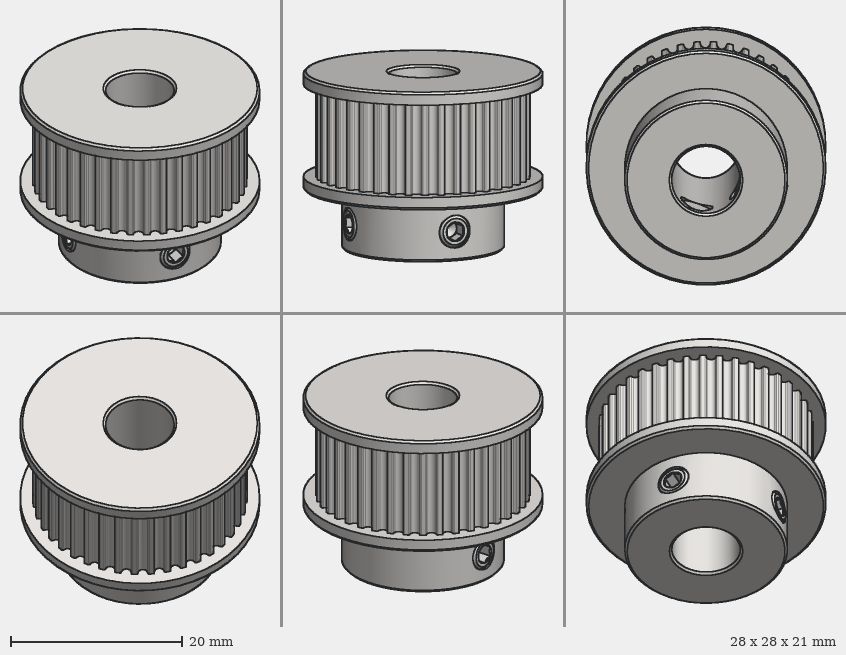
import cadquery as cq
import math

flange_diameter = 28.0
flange_thickness = 1.5
hub_diameter = 19.0
hub_height = 7.0
total_height = 21.0
rim_diameter = 25.1
bore_diameter = 8.0
edge_chamfer = 0.28

groove_count = 40
groove_depth = 0.75
groove_bottom_radius = 0.55
groove_flank_radius = 1.0
groove_mouth_radius = 0.15

screw_diameter = 3.85
screw_chamfer = 0.35
screw_angles = (-90, 0)
hex_across_flats = 2.0
hex_depth = 1.95
hex_tip_angle = 120.0

flange_radius = flange_diameter / 2
hub_radius = hub_diameter / 2
rim_radius = rim_diameter / 2
bore_radius = bore_diameter / 2
rim_bottom = hub_height + flange_thickness
rim_top = total_height - flange_thickness
rim_height = rim_top - rim_bottom
screw_radius = screw_diameter / 2
screw_height = hub_height / 2
screw_length = hub_radius - bore_radius


def disc(diameter, bottom, height):
    """Plain disc on the Z axis, standing on the given height."""
    return cq.Workplane("XY").workplane(offset=bottom).circle(diameter / 2).extrude(height)


def make_groove():
    """Cutter for one belt groove, on the +Y side of the rim."""
    centre_gap = groove_flank_radius - groove_bottom_radius
    bottom_centre_depth = groove_depth - groove_bottom_radius
    flank_centre_x = -math.sqrt(centre_gap**2 - bottom_centre_depth**2)
    flank_end_angle = -math.asin(bottom_centre_depth / centre_gap)

    mouth_reach = groove_flank_radius + groove_mouth_radius
    flank_start_angle = -math.asin(groove_mouth_radius / mouth_reach)
    mouth_x = flank_centre_x + mouth_reach * math.cos(flank_start_angle)
    mouth_y = math.sqrt(rim_radius**2 - mouth_x**2)
    mouth_mid_angle = (math.pi / 2 + math.pi + flank_start_angle) / 2

    def flank_point(angle):
        x = flank_centre_x + groove_flank_radius * math.cos(angle)
        return x, mouth_y + groove_flank_radius * math.sin(angle)

    mouth = (mouth_x, mouth_y)
    mouth_mid = (
        mouth_x + groove_mouth_radius * math.cos(mouth_mid_angle),
        mouth_y - groove_mouth_radius + groove_mouth_radius * math.sin(mouth_mid_angle),
    )
    flank_start = flank_point(flank_start_angle)
    flank_mid = flank_point((flank_start_angle + flank_end_angle) / 2)
    flank_end = flank_point(flank_end_angle)
    bottom = (0, mouth_y - groove_depth)

    def mirrored(point):
        return -point[0], point[1]

    return (
        cq.Workplane("XY")
        .workplane(offset=rim_bottom)
        .moveTo(mouth_x, flange_radius)
        .lineTo(*mouth)
        .threePointArc(mouth_mid, flank_start)
        .threePointArc(flank_mid, flank_end)
        .threePointArc(bottom, mirrored(flank_end))
        .threePointArc(mirrored(flank_mid), mirrored(flank_start))
        .threePointArc(mirrored(mouth_mid), mirrored(mouth))
        .lineTo(-mouth_x, flange_radius)
        .close()
        .extrude(rim_height)
    )


def make_rim():
    """Toothed rim that carries the belt."""
    rim = disc(rim_diameter, rim_bottom, rim_height)
    groove = make_groove()
    for index in range(groove_count):
        angle = index * 360 / groove_count
        rim = rim.cut(groove.rotate((0, 0, 0), (0, 0, 1), angle))
    return rim


def place_on_hub(body, angle):
    """Move a body built along +X from the origin to mid-hub, then turn it about Z."""
    return body.translate((0, 0, screw_height)).rotate((0, 0, 0), (0, 0, 1), angle)


def make_bore():
    """Cutter for the through bore, widened to a chamfer at both ends."""
    mouth_radius = bore_radius + edge_chamfer
    return (
        cq.Workplane("XZ")
        .moveTo(0, 0)
        .lineTo(mouth_radius, 0)
        .lineTo(bore_radius, edge_chamfer)
        .lineTo(bore_radius, total_height - edge_chamfer)
        .lineTo(mouth_radius, total_height)
        .lineTo(0, total_height)
        .close()
        .revolve(360, (0, 0, 0), (0, 1, 0))
    )


def make_pulley():
    """Hub, toothed rim and two flanges in one piece, bored through."""
    hub = disc(hub_diameter, 0, hub_height).faces("<Z").chamfer(edge_chamfer)
    lower_flange = disc(flange_diameter, hub_height, flange_thickness).faces("<Z").chamfer(edge_chamfer)
    upper_flange = disc(flange_diameter, rim_top, flange_thickness).faces(">Z").chamfer(edge_chamfer)
    pulley = hub.union(lower_flange).union(make_rim()).union(upper_flange)

    pulley = pulley.cut(make_bore())

    screw_hole = cq.Workplane("YZ").circle(screw_radius).extrude(flange_radius)
    for angle in screw_angles:
        pulley = pulley.cut(place_on_hub(screw_hole, angle))
    return pulley


def make_hex_socket():
    """Cutter for the hex socket: countersunk mouth, hex walls and a drilled cone at the end."""
    flat_radius = hex_across_flats / 2
    corner_radius = flat_radius / math.cos(math.pi / 6)
    countersink_depth = corner_radius - flat_radius
    tip_depth = flat_radius / math.tan(math.radians(hex_tip_angle / 2))
    hex_end = hub_radius - hex_depth
    hexagon = (
        cq.Workplane("YZ")
        .workplane(offset=hex_end)
        .polygon(6, 2 * corner_radius)
        .extrude(hex_depth)
        .rotate((0, 0, 0), (1, 0, 0), 90)
    )
    cone_axis = cq.Vector(-1, 0, 0)
    countersink = cq.Solid.makeCone(
        corner_radius, flat_radius, countersink_depth, cq.Vector(hub_radius, 0, 0), cone_axis
    )
    tip = cq.Solid.makeCone(flat_radius, 0, tip_depth, cq.Vector(hex_end, 0, 0), cone_axis)
    return hexagon.union(cq.Workplane(countersink)).union(cq.Workplane(tip))


def make_set_screw(angle):
    """Set screw from the bore to the hub surface, its outer end chamfered."""
    screw = cq.Workplane("YZ").workplane(offset=bore_radius).circle(screw_radius).extrude(screw_length)
    screw = screw.faces(">X").chamfer(screw_chamfer)
    return place_on_hub(screw.cut(make_hex_socket()), angle)


pulley = make_pulley()
set_screws = [make_set_screw(angle) for angle in screw_angles]

result = cq.Compound.makeCompound([pulley.val(), *[screw.val() for screw in set_screws]])